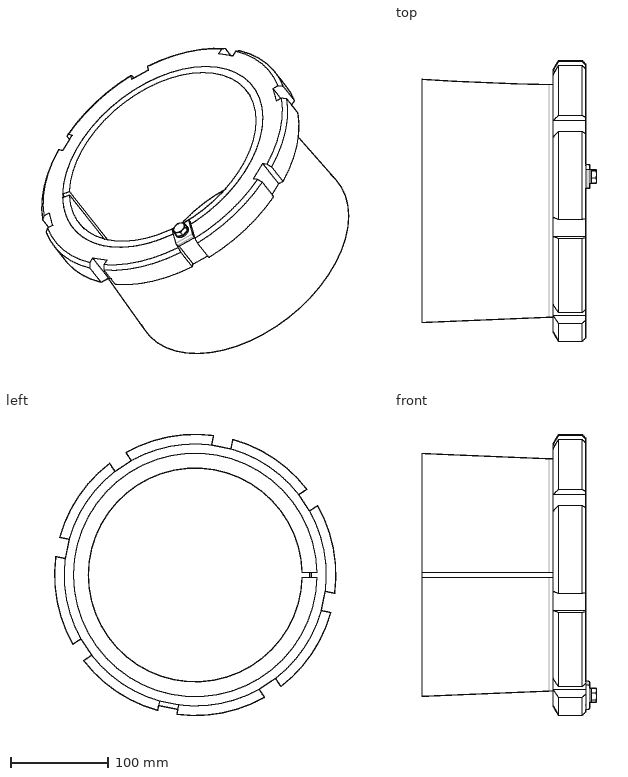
import cadquery as cq
import math


BORE_DIAMETER = 220.0
THREAD_DIAMETER = 240.0
THREAD_ROOT_DIAMETER = 236.0
TAPER_RATIO = 1.0 / 12.0
TAPER_LENGTH = 131.0
NECK_LENGTH = 4.0
WIDE_DIAMETER = THREAD_DIAMETER + TAPER_LENGTH * TAPER_RATIO
SLIT_WIDTH = 5.0

NUT_DIAMETER = 290.0
NUT_FACE_DIAMETER = 270.0
NUT_WIDTH = 34.0
NUT_FRONT_X = TAPER_LENGTH + NECK_LENGTH
NUT_BACK_X = NUT_FRONT_X + NUT_WIDTH
FRONT_BEVEL_DEPTH = (NUT_DIAMETER - NUT_FACE_DIAMETER) / 2 * math.tan(math.radians(30.0))
BACK_BEVEL = 4.0
BORE_BEVEL = (THREAD_DIAMETER - THREAD_ROOT_DIAMETER) / 2
SLOT_COUNT = 8
SLOT_WIDTH = 20.0
SLOT_FLOOR_RADIUS = math.sqrt((NUT_FACE_DIAMETER / 2) ** 2 - (SLOT_WIDTH / 2) ** 2)
SLOT_PITCH = 360.0 / SLOT_COUNT

CLIP_LENGTH = 26.0
CLIP_WIDTH = SLOT_WIDTH
CLIP_THICKNESS = 4.0
CLIP_FILLET = 2.0
CLIP_HOLE_DIAMETER = 9.0
CLIP_BACK_X = NUT_BACK_X + CLIP_THICKNESS
CLIP_ANGLE = 11.5

BOLT_RADIUS = (THREAD_ROOT_DIAMETER + NUT_FACE_DIAMETER) / 4
BOLT_DIAMETER = 8.0
BOLT_LENGTH = 20.0
COLLAR_DIAMETER = 14.8
COLLAR_THICKNESS = 1.75
HEAD_ACROSS_FLATS = 13.0
HEAD_HEIGHT = 5.3
HEAD_TOP_DIAMETER = 12.5
HEAD_BEVEL_ANGLE = 30.0
HEAD_X = CLIP_BACK_X + COLLAR_THICKNESS
BOLT_TIP_X = CLIP_BACK_X - BOLT_LENGTH


def revolve_about_x(profile):
    """Turn a list of (x, radius) points about the X axis, starting on the -Y side."""
    points = [(x, -radius) for x, radius in profile]
    return cq.Workplane("XY").polyline(points).close().revolve(360, (0, 0, 0), (1, 0, 0))


def cylinder_below_axis(start_x, length, diameter):
    """Cylinder along X, set straight below the main axis on the bolt's radius."""
    plane = cq.Workplane("YZ", origin=(start_x, 0, -BOLT_RADIUS))
    return plane.circle(diameter / 2).extrude(length)


def turn_to_slot(body):
    """Turn a body built with the clip straight below the axis to its final angle."""
    return body.rotate((0, 0, 0), (1, 0, 0), CLIP_ANGLE)


def make_sleeve():
    bore = BORE_DIAMETER / 2
    thread = THREAD_DIAMETER / 2
    root = THREAD_ROOT_DIAMETER / 2
    sleeve = revolve_about_x([
        (0, bore),
        (0, WIDE_DIAMETER / 2),
        (TAPER_LENGTH, thread),
        (NUT_FRONT_X, thread),
        (NUT_FRONT_X + BORE_BEVEL, root),
        (NUT_BACK_X, root),
        (NUT_BACK_X, bore),
    ])
    slit = cq.Workplane("XY").box(NUT_BACK_X, WIDE_DIAMETER, SLIT_WIDTH, centered=(False, False, True))
    return sleeve.cut(slit.translate((0, -WIDE_DIAMETER, 0)))


def make_nut():
    outer = NUT_DIAMETER / 2
    root = THREAD_ROOT_DIAMETER / 2
    face = NUT_FACE_DIAMETER / 2
    nut = revolve_about_x([
        (NUT_FRONT_X, root + BORE_BEVEL),
        (NUT_FRONT_X, face),
        (NUT_FRONT_X + FRONT_BEVEL_DEPTH, outer),
        (NUT_BACK_X - BACK_BEVEL, outer),
        (NUT_BACK_X, outer - BACK_BEVEL),
        (NUT_BACK_X, root),
        (NUT_FRONT_X + BORE_BEVEL, root),
    ])
    slot = cq.Workplane("XY").box(NUT_WIDTH, SLOT_WIDTH, outer, centered=(False, True, False))
    slot = slot.translate((NUT_FRONT_X, 0, -outer - SLOT_FLOOR_RADIUS))
    for index in range(SLOT_COUNT):
        nut = nut.cut(slot.rotate((0, 0, 0), (1, 0, 0), index * SLOT_PITCH))
    bolt_hole = cylinder_below_axis(BOLT_TIP_X, NUT_BACK_X - BOLT_TIP_X, BOLT_DIAMETER)
    return turn_to_slot(nut.cut(bolt_hole))


def make_clip():
    plate = cq.Workplane("XY").box(CLIP_THICKNESS, CLIP_WIDTH, CLIP_LENGTH, centered=(False, True, True))
    plate = plate.faces(">X").edges("|Y").fillet(CLIP_FILLET)
    plate = plate.translate((NUT_BACK_X, 0, -BOLT_RADIUS))
    hole = cylinder_below_axis(NUT_BACK_X, CLIP_THICKNESS, CLIP_HOLE_DIAMETER)
    return turn_to_slot(plate.cut(hole))


def make_bolt():
    corner_diameter = HEAD_ACROSS_FLATS / math.cos(math.radians(30.0))
    head_plane = cq.Workplane("YZ", origin=(HEAD_X, 0, -BOLT_RADIUS))
    head_plane = head_plane.transformed(rotate=(0, 0, 30))
    head = head_plane.polygon(6, corner_diameter).extrude(HEAD_HEIGHT)

    top = HEAD_TOP_DIAMETER / 2
    spread = HEAD_HEIGHT / math.tan(math.radians(HEAD_BEVEL_ANGLE))
    cone = revolve_about_x([
        (HEAD_X, 0),
        (HEAD_X, top + spread),
        (HEAD_X + HEAD_HEIGHT, top),
        (HEAD_X + HEAD_HEIGHT, 0),
    ])
    head = head.intersect(cone.translate((0, 0, -BOLT_RADIUS)))

    collar = cylinder_below_axis(CLIP_BACK_X, COLLAR_THICKNESS, COLLAR_DIAMETER)
    shank = cylinder_below_axis(BOLT_TIP_X, BOLT_LENGTH, BOLT_DIAMETER)
    return turn_to_slot(head.union(collar).union(shank))


sleeve = make_sleeve()
nut = make_nut()
clip = make_clip()
bolt = make_bolt()

result = cq.Compound.makeCompound([sleeve.val(), nut.val(), clip.val(), bolt.val()])